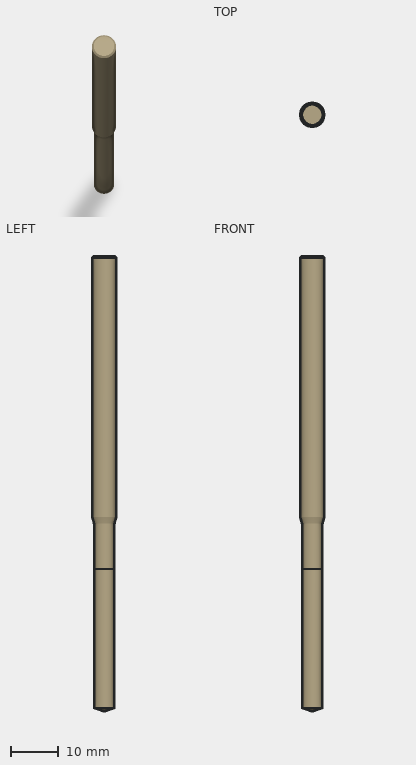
import cadquery as cq
import math

total_length = 95.0
shank_diameter = 5.0
cutter_diameter = 4.3
shank_length = 54.5
shoulder_length = 1.3
cutter_length = 29.7
end_chamfer = 0.4
point_angle = 140.0

shank_radius = shank_diameter / 2
cutter_radius = cutter_diameter / 2
shank_bottom = total_length - shank_length
shoulder_bottom = shank_bottom - shoulder_length
point_height = cutter_radius / math.tan(math.radians(point_angle / 2))


def make_holder():
    """Chamfered shank that tapers to a neck of the cutter diameter, ending flat on the cutter."""
    profile = (
        cq.Workplane("XZ")
        .moveTo(0, cutter_length)
        .lineTo(cutter_radius, cutter_length)
        .lineTo(cutter_radius, shoulder_bottom)
        .lineTo(shank_radius, shank_bottom)
        .lineTo(shank_radius, total_length - end_chamfer)
        .lineTo(shank_radius - end_chamfer, total_length)
        .lineTo(0, total_length)
        .close()
    )
    return profile.revolve(360, (0, 0, 0), (0, 1, 0))


def make_cutter():
    """Plain cylindrical cutter with a conical point at the bottom."""
    profile = (
        cq.Workplane("XZ")
        .moveTo(0, 0)
        .lineTo(cutter_radius, point_height)
        .lineTo(cutter_radius, cutter_length)
        .lineTo(0, cutter_length)
        .close()
    )
    return profile.revolve(360, (0, 0, 0), (0, 1, 0))


holder = make_holder()
cutter = make_cutter()

result = cq.Compound.makeCompound([holder.val(), cutter.val()])